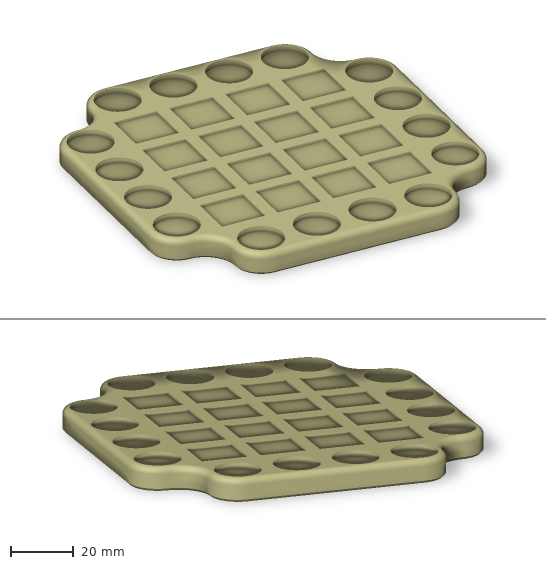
import cadquery as cq
import math

side = 120.0
thickness = 8.0
cells_across = 6
round_pocket_diameter = 15.4
round_pocket_depth = 2.0
square_pocket_side = 15.6
square_pocket_depth = 1.0
top_fillet = 2.2
bottom_chamfer = 1.0

pitch = side / cells_across
corner_radius = pitch / 2
half_side = side / 2
straight_end = half_side - pitch - corner_radius
arc_offset = corner_radius * math.sqrt(0.5)
rim_center = half_side - corner_radius
inner_cells = cells_across - 2
cell_centers = [(i - (inner_cells - 1) / 2) * pitch for i in range(inner_cells)]


def corner_points(quarter_turns):
    """Corner of the outline, from the right edge round to the top edge, turned about Z."""
    points = [
        (half_side, straight_end),
        (rim_center + arc_offset, straight_end + arc_offset),
        (rim_center, straight_end + corner_radius),
        (rim_center - arc_offset, rim_center - arc_offset),
        (straight_end + corner_radius, rim_center),
        (straight_end + arc_offset, rim_center + arc_offset),
        (straight_end, half_side),
    ]
    for _ in range(quarter_turns):
        points = [(-y, x) for x, y in points]
    return points


def make_plate():
    """Square plate with a wavy notch at each corner and softened edges."""
    outline = cq.Workplane("XY").moveTo(half_side, -straight_end)
    for quarter_turns in range(4):
        points = corner_points(quarter_turns)
        outline = outline.lineTo(*points[0])
        for middle, end in zip(points[1::2], points[2::2]):
            outline = outline.threePointArc(middle, end)
    plate = outline.close().extrude(thickness)
    plate = plate.faces(">Z").edges().fillet(top_fillet)
    return plate.faces("<Z").edges().chamfer(bottom_chamfer)


def round_pockets():
    """Cutter for the round pockets along all four sides."""
    centers = []
    for along in cell_centers:
        for rim in (-rim_center, rim_center):
            centers += [(along, rim), (rim, along)]
    return (
        cq.Workplane("XY", origin=(0, 0, thickness))
        .pushPoints(centers)
        .circle(round_pocket_diameter / 2)
        .extrude(-round_pocket_depth)
    )


def square_pockets():
    """Cutter for the square pockets in the middle of the plate."""
    return (
        cq.Workplane("XY", origin=(0, 0, thickness))
        .rarray(pitch, pitch, inner_cells, inner_cells)
        .rect(square_pocket_side, square_pocket_side)
        .extrude(-square_pocket_depth)
    )


result = make_plate().cut(round_pockets()).cut(square_pockets())